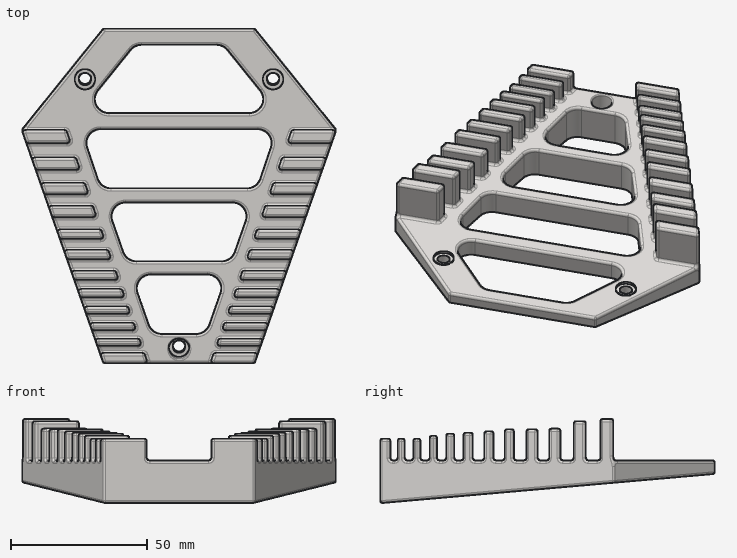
import cadquery as cq
import math

LENGTH = 122.3
END_HALF_WIDTH = 27.6
MID_HALF_WIDTH = 57.5
MID_Y = 85.2
REAR_THICKNESS = 5.0
BOTTOM_ANGLE = 5.0
EDGE_RADIUS = 1.0

REAR_TOOTH_FRONT = 80.5
TEETH = [
    (REAR_TOOTH_FRONT, MID_Y - REAR_TOOTH_FRONT, 15.2),
    (70.7, 4.5, 14.3),
    (61.8, 4.2, 11.6),
    (53.5, 4.2, 11.4),
    (45.5, 3.4, 11.4),
    (38.0, 3.4, 10.6),
    (30.5, 3.4, 10.2),
    (24.1, 3.0, 9.8),
    (18.1, 2.7, 9.0),
    (12.1, 2.7, 8.0),
    (6.4, 2.7, 8.0),
    (0.0, 3.8, 8.0),
]
TOOTH_REACH = 16.3

SIDE_RAIL = 21.5
REAR_RAIL = 16.3
WINDOWS = [
    (10.8, 32.4, SIDE_RAIL),
    (37.3, 58.7, SIDE_RAIL),
    (64.0, 85.5, SIDE_RAIL),
    (91.5, 116.3, REAR_RAIL),
]
WINDOW_RADIUS = 5.0

HOLE_DIAMETER = 4.5
HEAD_DIAMETER = 7.5
HEAD_SEAT = 6.0
FRONT_HOLE = (0, 6.6)
REAR_HOLES = [(-34.4, 104.3), (34.4, 104.3)]
FRONT_LIP_RADIUS = 0.5

SELECT_MARGIN = 0.1

TILT = math.radians(BOTTOM_ANGLE)
BOTTOM_RISE = math.tan(TILT)
FRONT_THICKNESS = REAR_THICKNESS + LENGTH * BOTTOM_RISE


def half_width(y):
    """Half width of the plate outline at a given Y."""
    flare = MID_HALF_WIDTH - END_HALF_WIDTH
    if y <= MID_Y:
        return END_HALF_WIDTH + flare * y / MID_Y
    return END_HALF_WIDTH + flare * (LENGTH - y) / (LENGTH - MID_Y)


def make_plate():
    """Hexagonal prism trimmed to the wedge between the top and the sloping underside."""
    outline = [
        (-END_HALF_WIDTH, 0),
        (END_HALF_WIDTH, 0),
        (MID_HALF_WIDTH, MID_Y),
        (END_HALF_WIDTH, LENGTH),
        (-END_HALF_WIDTH, LENGTH),
        (-MID_HALF_WIDTH, MID_Y),
    ]
    profile = [(0, 0), (0, -FRONT_THICKNESS), (LENGTH, -REAR_THICKNESS), (LENGTH, 0)]
    prism = cq.Workplane("XY").polyline(outline).close().extrude(-FRONT_THICKNESS)
    wedge = cq.Workplane("YZ").polyline(profile).close().extrude(MID_HALF_WIDTH, both=True)
    return prism.intersect(wedge)


def make_tooth(side, front, thickness, height):
    """Tooth whose ends follow the slant of the side wall; side is -1 (left) or 1 (right)."""
    rear = front + thickness
    footprint = [
        (side * half_width(front), front),
        (side * half_width(rear), rear),
        (side * (half_width(rear) - TOOTH_REACH), rear),
        (side * (half_width(front) - TOOTH_REACH), front),
    ]
    return cq.Workplane("XY").polyline(footprint).close().extrude(height)


def cut_window(body, front, rear, rail):
    """Cut a trapezoid window parallel to the outline and round its upper and lower rims."""
    front_half = half_width(front) - rail
    rear_half = half_width(rear) - rail
    corners = [(-front_half, front), (front_half, front), (rear_half, rear), (-rear_half, rear)]
    opening = cq.Workplane("XY").polyline(corners).close().extrude(-FRONT_THICKNESS)
    opening = opening.edges("|Z").fillet(WINDOW_RADIUS)

    reach = max(front_half, rear_half)
    zone = cq.selectors.BoxSelector(
        (-reach, front - SELECT_MARGIN, -FRONT_THICKNESS),
        (reach, rear + SELECT_MARGIN, SELECT_MARGIN),
        boundingbox=True,
    )
    upright = cq.selectors.ParallelDirSelector(cq.Vector(0, 0, 1))
    return body.cut(opening).edges(zone - upright).fillet(EDGE_RADIUS)


def cut_screw_hole(body, x, y):
    """Cut a through hole and its flat-bottomed head recess, both square to the underside."""
    axis = cq.Vector(0, -math.sin(TILT), math.cos(TILT))
    foot = cq.Vector(x, y, y * BOTTOM_RISE - FRONT_THICKNESS)
    start = foot - axis * FRONT_THICKNESS
    seat = foot + axis * HEAD_SEAT
    shank = cq.Solid.makeCylinder(HOLE_DIAMETER / 2, 2 * FRONT_THICKNESS, start, axis)
    head = cq.Solid.makeCylinder(HEAD_DIAMETER / 2, FRONT_THICKNESS, seat, axis)
    return body.cut(cq.Workplane(shank)).cut(cq.Workplane(head))


def round_front_lip(body):
    """Round the top rim of the front screw head recess."""
    first_window_front = WINDOWS[0][0]
    zone = cq.selectors.BoxSelector(
        (-HEAD_DIAMETER, 0, -SELECT_MARGIN),
        (HEAD_DIAMETER, first_window_front, SELECT_MARGIN),
        boundingbox=True,
    )
    return body.edges(zone).edges("%ELLIPSE or %BSPLINE").fillet(FRONT_LIP_RADIUS)


result = make_plate()
for side in (-1, 1):
    for front, thickness, height in TEETH:
        result = result.union(make_tooth(side, front, thickness, height), clean=False)
result = result.clean().edges().fillet(EDGE_RADIUS)

for front, rear, rail in WINDOWS:
    result = cut_window(result, front, rear, rail)

for x, y in [FRONT_HOLE, *REAR_HOLES]:
    result = cut_screw_hole(result, x, y)
result = round_front_lip(result)